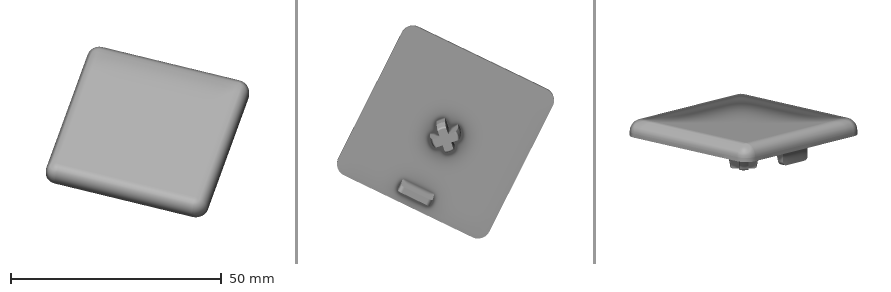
import cadquery as cq
import math

plate_side = 40.0
plate_thickness = 4.0
edge_radius = 3.0

peg_length = 8.0
peg_radius = 3.65
arm_width = 2.1
taper_length = 3.0
taper_angle = 10.0
tip_radius = 0.5

tab_width = 8.4
tab_height = 4.0
tab_root_thickness = 2.5
tab_tip_thickness = 1.5
tab_corner_radius = 1.0
tab_outer_y = plate_side / 2 - edge_radius


def make_plate():
    """Square plate with ball-rounded upper corners."""
    plate = cq.Workplane("XY").box(
        plate_side, plate_side, plate_thickness, centered=(True, True, False)
    )
    return plate.edges("|Z or >Z").fillet(edge_radius)


def make_peg():
    """Round, tapered peg reduced to a cross with diagonal arms."""
    tip_end_radius = peg_radius - taper_length * math.tan(math.radians(taper_angle))
    envelope = (
        cq.Workplane("XY")
        .workplane(offset=-peg_length)
        .circle(tip_end_radius)
        .workplane(offset=taper_length)
        .circle(peg_radius)
        .loft(ruled=True)
        .faces("<Z")
        .edges()
        .fillet(tip_radius)
    )
    shank = (
        cq.Workplane("XY")
        .circle(peg_radius)
        .extrude(-(peg_length - taper_length))
    )
    envelope = envelope.union(shank)

    arm = cq.Workplane("XY").rect(2 * peg_radius, arm_width).extrude(-peg_length)
    z_axis = ((0, 0, 0), (0, 0, 1))
    cross = arm.rotate(*z_axis, 45).union(arm.rotate(*z_axis, -45))
    return envelope.intersect(cross)


def make_tab():
    """Tab with a sloping inner face and rounded lower corners."""
    return (
        cq.Workplane("YZ")
        .moveTo(tab_outer_y, 0)
        .lineTo(tab_outer_y, -tab_height)
        .lineTo(tab_outer_y - tab_tip_thickness, -tab_height)
        .lineTo(tab_outer_y - tab_root_thickness, 0)
        .close()
        .extrude(tab_width / 2, both=True)
        .faces("<Z")
        .edges("|Y")
        .fillet(tab_corner_radius)
    )


result = make_plate().union(make_peg()).union(make_tab())